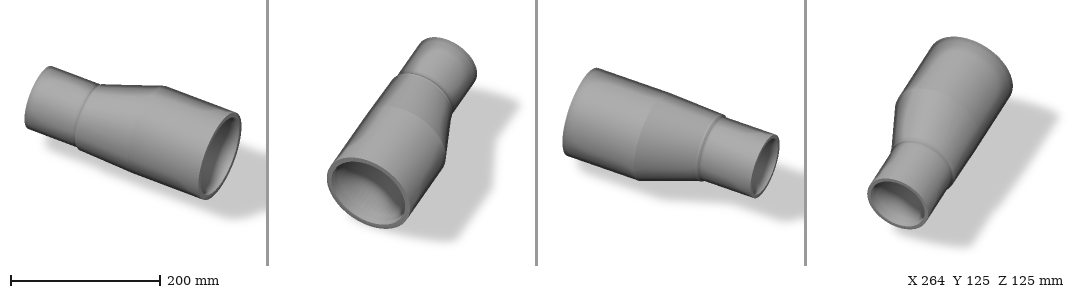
import cadquery as cq

total_length = 264.0
large_diameter = 125.0
small_diameter = 90.0
small_bore_diameter = 79.5
collar_diameter = 95.0
small_end_length = 75.8
collar_chamfer_length = 3.2
collar_land_length = 2.5
cone_length = 76.3

large_bore_diameter = large_diameter * small_bore_diameter / small_diameter

small_axis_y = (collar_diameter - large_diameter) / 2

collar_start = small_end_length
land_start = collar_start + collar_chamfer_length
cone_start = land_start + collar_land_length
cone_end = cone_start + cone_length


def pipe(start, end, diameter, axis_y):
    """Solid cylinder along X between two stations."""
    plane = cq.Workplane("YZ", origin=(start, axis_y, 0))
    return plane.circle(diameter / 2).extrude(end - start)


def taper(start, end, start_diameter, end_diameter, start_y, end_y):
    """Ruled solid joining two circles that may lie on different axes."""
    return (
        cq.Workplane("YZ", origin=(start, 0, 0))
        .center(start_y, 0)
        .circle(start_diameter / 2)
        .workplane(offset=end - start)
        .center(end_y - start_y, 0)
        .circle(end_diameter / 2)
        .loft(ruled=True, combine=True)
    )


body = (
    pipe(0, collar_start, small_diameter, small_axis_y)
    .union(taper(collar_start, land_start, small_diameter, collar_diameter,
                 small_axis_y, small_axis_y))
    .union(pipe(land_start, cone_start, collar_diameter, small_axis_y))
    .union(taper(cone_start, cone_end, collar_diameter, large_diameter, small_axis_y, 0))
    .union(pipe(cone_end, total_length, large_diameter, 0))
)

passage = (
    pipe(0, cone_start, small_bore_diameter, small_axis_y)
    .union(taper(cone_start, cone_end, small_bore_diameter, large_bore_diameter, small_axis_y, 0))
    .union(pipe(cone_end, total_length, large_bore_diameter, 0))
)

result = body.cut(passage)